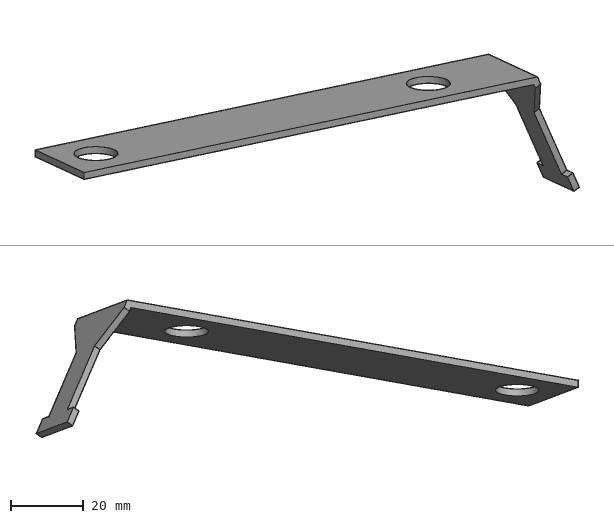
import cadquery as cq
import math

overall_length = 166.9
overall_height = 37.0
strip_width = 24.0
thickness = 2.0
hole_diameter = 12.0
hole_end_offset = 12.0
hole_spacing = 110.0

leg_angle = 25.0
neck_width = 9.0
foot_width = 15.0
foot_length = 5.0
taper_start = 2.5
taper_end = 13.5

tilt = math.radians(leg_angle)
leg_length = (overall_height - thickness * math.sin(tilt)) / math.cos(tilt)
bend_y = overall_length - leg_length * math.sin(tilt)
inner_bend_y = bend_y - thickness * math.tan((math.pi / 2 - tilt) / 2)


def bent_strip():
    """Full-width bent sheet, from its side profile."""
    tip_y = overall_length
    tip_z = -leg_length * math.cos(tilt)
    profile = [
        (0, 0),
        (bend_y, 0),
        (tip_y, tip_z),
        (tip_y - thickness * math.cos(tilt), -overall_height),
        (inner_bend_y, -thickness),
        (0, -thickness),
    ]
    return cq.Workplane("YZ").polyline(profile).close().extrude(strip_width / 2, both=True)


def side_cutter(side):
    """Waste beside the neck and foot; side is +1 or -1 along X."""
    edge = strip_width / 2 + thickness
    taper_slope = (taper_end - taper_start) / ((strip_width - neck_width) / 2)
    outer_start = taper_start - taper_slope * thickness
    end = leg_length + thickness
    shoulder = leg_length - foot_length
    outline = [
        (edge, outer_start),
        (neck_width / 2, taper_end),
        (neck_width / 2, shoulder),
        (foot_width / 2, shoulder),
        (foot_width / 2, end),
        (edge, end),
    ]
    leg_plane = cq.Plane(
        origin=(0, bend_y, 0),
        xDir=(1, 0, 0),
        normal=(0, math.cos(tilt), math.sin(tilt)),
    )
    points = [(side * x, distance) for x, distance in outline]
    return cq.Workplane(leg_plane).polyline(points).close().extrude(2 * thickness, both=True)


result = bent_strip()
for side in (-1, 1):
    result = result.cut(side_cutter(side))

hole_places = [(0, hole_end_offset), (0, hole_end_offset + hole_spacing)]
holes = cq.Workplane("XY").pushPoints(hole_places).circle(hole_diameter / 2).extrude(-thickness)
result = result.cut(holes)